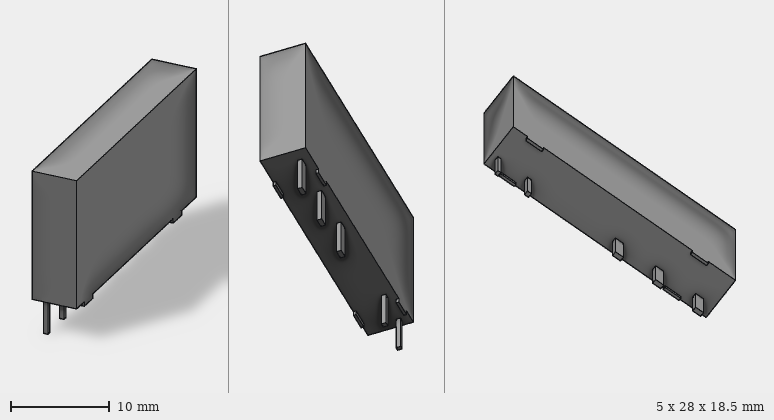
import cadquery as cq

body_width = 5.0
body_length = 28.0
body_height = 14.55

pin_length = 3.95
pin_thickness = 0.5
pin_x = -1.3
wide_pin = 1.0
medium_pin = 0.5
narrow_pin = 0.42
pins = [
    (12.1, wide_pin),
    (7.05, wide_pin),
    (2.0, wide_pin),
    (-9.35, medium_pin),
    (-13.13, narrow_pin),
]

foot_length = 2.02
foot_thickness = 0.3
foot_height = 0.5
foot_offset_x = (body_width - foot_thickness) / 2
foot_places_y = [9.58, -11.2]


def hanging_block(x, y, width, length, depth):
    """Block centred on (x, y), running from the body underside down by depth."""
    return cq.Workplane("XY").center(x, y).rect(width, length).extrude(-depth)


result = cq.Workplane("XY").rect(body_width, body_length).extrude(body_height)

for pin_y, pin_width in pins:
    result = result.union(hanging_block(pin_x, pin_y, pin_thickness, pin_width, pin_length))

for foot_y in foot_places_y:
    for foot_x in (-foot_offset_x, foot_offset_x):
        result = result.union(hanging_block(foot_x, foot_y, foot_thickness, foot_length, foot_height))